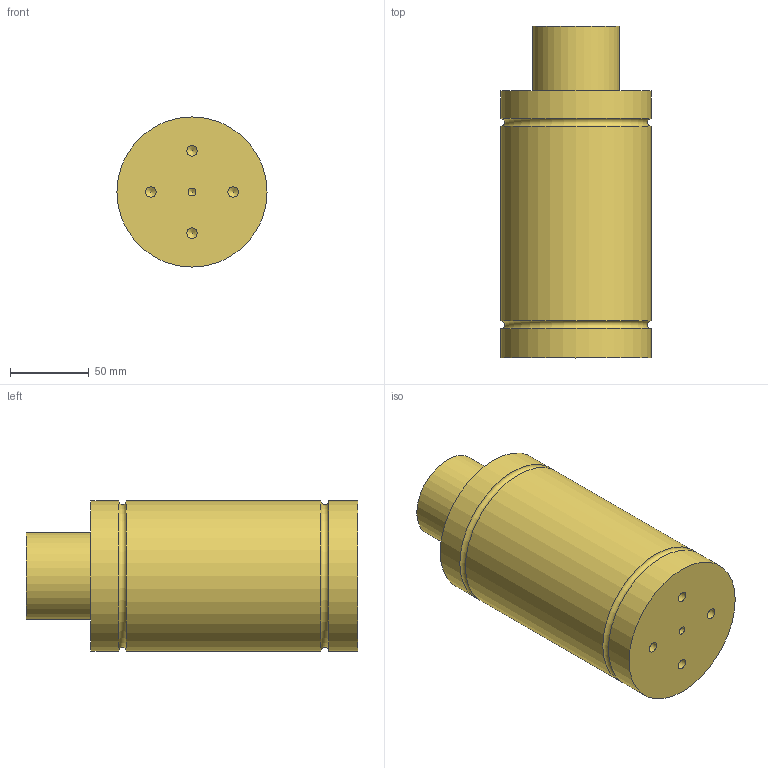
import cadquery as cq
import math

body_diameter = 95.0
body_length = 169.0
rod_diameter = 55.0
total_length = 210.0

groove_radius = 2.5
front_groove_offset = 21.0
rear_groove_offset = 20.0

mount_hole_diameter = 6.65
mount_circle_diameter = 52.0
mount_hole_count = 4
mount_hole_depth = 13.0
port_diameter = 5.0
port_depth = 10.0
drill_point_angle = 118.0

full_turn = 360.0


def stepped_shaft():
    """Body cylinder with the narrower rod standing on its rear face."""
    body = cq.Workplane("XZ").circle(body_diameter / 2).extrude(-body_length)
    rod = cq.Workplane("XZ").circle(rod_diameter / 2).extrude(-total_length)
    return body.union(rod)


def groove_ring(center_y):
    """Torus centred on the body surface, cutting a half-round groove."""
    body_radius = body_diameter / 2
    section = cq.Workplane("XY").center(body_radius, center_y).circle(groove_radius)
    return section.revolve(full_turn, (-body_radius, 0), (-body_radius, 1))


def drilled_hole(diameter, depth):
    """Hole on the Y axis, entering at the base face and ending in a drill cone."""
    radius = diameter / 2
    tip_length = radius / math.tan(math.radians(drill_point_angle / 2))
    profile = (
        cq.Workplane("XY")
        .lineTo(radius, 0)
        .lineTo(radius, depth)
        .lineTo(0, depth + tip_length)
        .close()
    )
    return profile.revolve(full_turn, (0, 0), (0, 1))


result = stepped_shaft()

for groove_y in (front_groove_offset, body_length - rear_groove_offset):
    result = result.cut(groove_ring(groove_y))

first_mount_hole = drilled_hole(mount_hole_diameter, mount_hole_depth).translate(
    (mount_circle_diameter / 2, 0, 0)
)
for index in range(mount_hole_count):
    angle = index * full_turn / mount_hole_count
    result = result.cut(first_mount_hole.rotate((0, 0, 0), (0, 1, 0), angle))

result = result.cut(drilled_hole(port_diameter, port_depth))